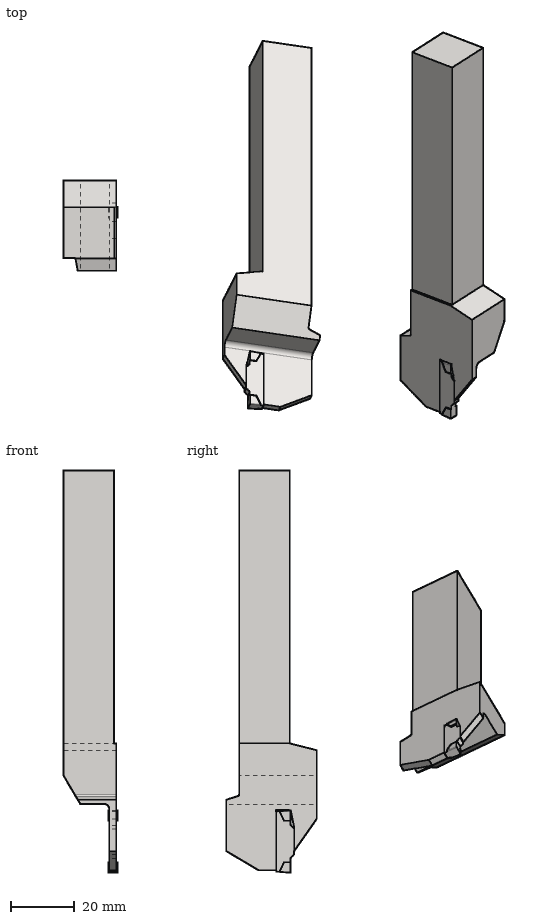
import cadquery as cq

total_height = 126.4
head_depth = 28.4

shank_size = 15.9
shank_front = 4.0
shank_back = shank_front + shank_size
head_width = 16.7
head_top = 40.7
wing_edge_z = 38.5
nose_root_z = 24.3
nose_edge_z = 23.0
nose_fillet = 0.6
chamfer_top = 30.6
chamfer_run = 5.3
head_bottom = 21.6

blade_thickness = 2.3
blade_left = head_width - blade_thickness
blade_fillet = 1.6
blade_bottom = 0.8
blade_front_z = 6.8
blade_toe_y = 10.2
wing_lower_z = 16.9
clamp_point_z = 6.8

insert_length = 19.7
insert_middle = insert_length / 2
seat_y = 15.7
insert_back = 21.4
tip_y = 20.2
back_half_length = 4.0
tip_start_half_length = 5.2
flank_relief = 0.4

tip_overhang = 0.4
tip_width = blade_thickness + 2 * tip_overhang
tip_length = 3.4
tip_shoulder_y = 18.2
tip_end_y = 16.7
tip_corner_radius = 0.19


def prism_along_x(points, left, width):
    """Extrude a closed (Y, Z) outline in +X."""
    return cq.Workplane("YZ", origin=(left, 0, 0)).polyline(points).close().extrude(width)


def make_holder_blank():
    """Shank, head and blade: the common volume of an XZ and a YZ outline."""
    across = (
        cq.Workplane("XZ")
        .moveTo(0, total_height)
        .lineTo(shank_size, total_height)
        .lineTo(shank_size, head_top)
        .lineTo(head_width, head_top)
        .lineTo(head_width, blade_bottom)
        .lineTo(blade_left, blade_bottom)
        .lineTo(blade_left, head_bottom - blade_fillet)
        .radiusArc((blade_left - blade_fillet, head_bottom), -blade_fillet)
        .lineTo(chamfer_run, head_bottom)
        .lineTo(0, chamfer_top)
        .close()
        .extrude(-head_depth)
    )
    side_outline = [
        (shank_front, total_height),
        (shank_back, total_height),
        (shank_back, head_top),
        (head_depth, wing_edge_z),
        (head_depth, wing_lower_z),
        (insert_back, clamp_point_z),
        (seat_y, blade_bottom),
        (blade_toe_y, blade_bottom),
        (0, blade_front_z),
        (0, nose_edge_z),
        (shank_front, nose_root_z),
    ]
    side = prism_along_x(side_outline, 0, head_width)
    nose_root = cq.selectors.NearestToPointSelector((head_width / 2, shank_front, nose_root_z))
    side = side.edges("|X").edges(nose_root).fillet(nose_fillet)
    return across.intersect(side)


def make_holder():
    """Holder with its seat, which leaves a small gap behind the upper tip."""
    seat_outline = [
        (seat_y, insert_length),
        (tip_y, insert_length),
        (insert_back, insert_middle + back_half_length),
        (insert_back, 0),
        (seat_y, 0),
    ]
    seat = prism_along_x(seat_outline, 0, head_width)
    return make_holder_blank().cut(seat)


def make_lower_tip():
    """Widened cutting tip with rounded corners at its lower end."""
    outline = [
        (tip_y, 0),
        (tip_y, tip_length),
        (tip_shoulder_y, tip_length),
        (tip_end_y, flank_relief * (tip_y - tip_end_y) / (tip_y - seat_y)),
    ]
    tip = prism_along_x(outline, blade_left - tip_overhang, tip_width)
    end_face = tip.faces("<Z")
    return end_face.edges("<X or >X").fillet(tip_corner_radius)


def make_insert():
    """Double-ended insert, symmetric about its middle height."""
    outline = [
        (seat_y, flank_relief),
        (tip_y, 0),
        (tip_y, insert_middle - tip_start_half_length),
        (insert_back, insert_middle - back_half_length),
        (insert_back, insert_middle + back_half_length),
        (tip_y, insert_middle + tip_start_half_length),
        (tip_y, insert_length),
        (seat_y, insert_length - flank_relief),
    ]
    insert = prism_along_x(outline, blade_left, blade_thickness)
    lower_tip = make_lower_tip()
    upper_tip = lower_tip.mirror("XY", (0, 0, insert_middle))
    return insert.union(lower_tip).union(upper_tip)


holder = make_holder()
insert = make_insert()

result = cq.Compound.makeCompound([holder.val(), insert.val()])